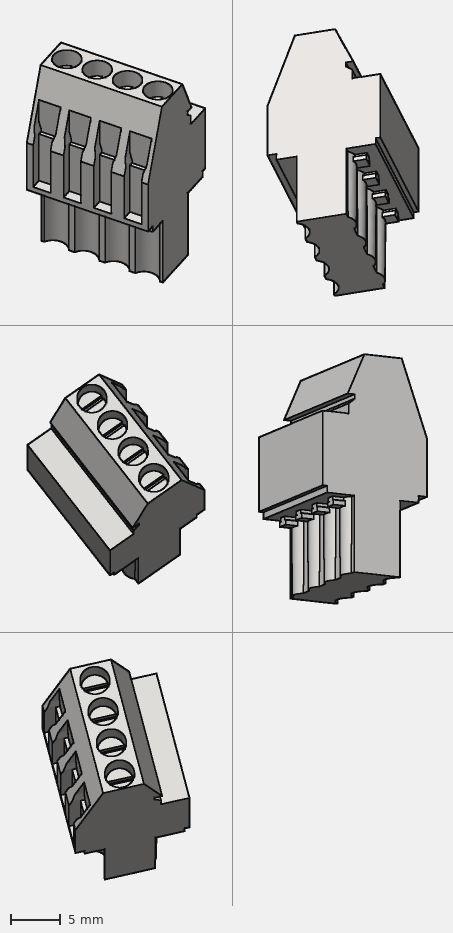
import cadquery as cq


POLE_COUNT = 4
PITCH = 3.5
WIDTH = POLE_COUNT * PITCH
POLE_CENTRES = [(i + 0.5) * PITCH - WIDTH / 2 for i in range(POLE_COUNT)]

HEIGHT = 22.6
DEPTH = 11.83
PLUG_TOP = 7.9
SKIRT_TOP = 8.6
SKIRT_FRONT_INSET = 0.95
SKIRT_BACK_INSET = 0.5
SLOPE_FOOT = 14.6
TOP_FRONT = 2.87
TOP_BACK = 7.1
LEDGE_HEIGHT = 16.3
LEDGE_FRONT = 8.87
LATCH_TIP = 9.0
LATCH_HEIGHT = 18.35
LATCH_ROOT = 8.2
LATCH_RAMP_TOP = 17.9
LATCH_RAMP_FOOT = 17.35

PLUG_FRONT = 3.05
PLUG_BACK = 8.27
PLUG_MIDDLE = (PLUG_FRONT + PLUG_BACK) / 2
BARREL_RADIUS = 1.6
SCALLOP_DEPTH = 0.84
BULGE_HEIGHT = 0.56
BULGE_DRAFT = 0.06

KEY_BACK = 10.05
KEY_BOTTOM = 7.0
KEY_HEAD_TOP = 7.52
KEY_HEAD_WIDTH = 1.3
KEY_NECK_WIDTH = 0.9

POCKET_BOTTOM = 9.25
POCKET_TOP = HEIGHT
POCKET_STEP = 15.2
LOWER_POCKET_DEPTH = 1.2
UPPER_POCKET_DEPTH = 1.64
NARROW_WIDTH = 2.0
WIDE_WIDTH = 2.5
TAPER_FOOT = 15.5
TAPER_TOP = 16.4

SCREW_ROW_OFFSET = 0.1
SCREW_Y = (TOP_FRONT + TOP_BACK) / 2
HOLE_DIAMETER = 3.0
SCREW_RECESS = 1.9
SCREW_DIAMETER = 2.8
SCREW_LENGTH = 3.0
HOLE_DEPTH = SCREW_RECESS + SCREW_LENGTH
SCREW_SLOT_WIDTH = 0.4
SCREW_SLOT_DEPTH = 0.6
SCREW_CENTRES = [(x + SCREW_ROW_OFFSET, SCREW_Y) for x in POLE_CENTRES]


def block(x_centre, x_size, y_range, z_range):
    """Box centred on x_centre that fills the given Y and Z ranges."""
    (y0, y1), (z0, z1) = y_range, z_range
    base = cq.Workplane("XY", origin=(x_centre, y0, z0))
    return base.box(x_size, y1 - y0, z1 - z0, centered=(True, False, False))


def body():
    """Main body, one side outline carried across the full width."""
    outline = [
        (SKIRT_FRONT_INSET, PLUG_TOP),
        (SKIRT_FRONT_INSET, SKIRT_TOP),
        (0, SKIRT_TOP),
        (0, SLOPE_FOOT),
        (TOP_FRONT, HEIGHT),
        (TOP_BACK, HEIGHT),
        (LATCH_TIP, LATCH_HEIGHT),
        (LATCH_ROOT, LATCH_HEIGHT),
        (LATCH_ROOT, LATCH_RAMP_TOP),
        (LEDGE_FRONT, LATCH_RAMP_FOOT),
        (LEDGE_FRONT, LEDGE_HEIGHT),
        (DEPTH, LEDGE_HEIGHT),
        (DEPTH, SKIRT_TOP),
        (DEPTH - SKIRT_BACK_INSET, SKIRT_TOP),
        (DEPTH - SKIRT_BACK_INSET, PLUG_TOP),
    ]
    return cq.Workplane("YZ").polyline(outline).close().extrude(WIDTH / 2, both=True)


def plug_bulge(x):
    """Slightly tapering rounded bulge on the back of the plug section, narrower at the plug end."""
    centre = cq.Vector(x, PLUG_BACK + BULGE_HEIGHT - BARREL_RADIUS, 0)
    cone = cq.Solid.makeCone(BARREL_RADIUS - BULGE_DRAFT, BARREL_RADIUS, PLUG_TOP, centre)
    behind_plug = block(x, PITCH, (PLUG_MIDDLE, PLUG_BACK + BULGE_HEIGHT), (0, PLUG_TOP))
    return behind_plug.intersect(cq.Workplane(cone))


def plug():
    """Plug section with a scalloped front and a bulge behind each pole."""
    section = block(0, WIDTH, (PLUG_FRONT, PLUG_BACK), (0, PLUG_TOP))
    scallop_y = PLUG_FRONT + SCALLOP_DEPTH - BARREL_RADIUS
    for x in POLE_CENTRES:
        section = section.union(plug_bulge(x))
        scallop = cq.Workplane("XY").center(x, scallop_y).circle(BARREL_RADIUS).extrude(PLUG_TOP)
        section = section.cut(scallop)
    return section


def coding_key(x):
    """T-shaped key: a narrow neck with a wider head below."""
    y_range = (PLUG_MIDDLE, KEY_BACK)
    neck = block(x, KEY_NECK_WIDTH, y_range, (KEY_BOTTOM, PLUG_TOP))
    head = block(x, KEY_HEAD_WIDTH, y_range, (KEY_BOTTOM, KEY_HEAD_TOP))
    return neck.union(head)


def wire_pocket(x):
    """Front pocket, narrow and shallow below, wider and deeper above."""
    lower = block(x, NARROW_WIDTH, (0, LOWER_POCKET_DEPTH), (POCKET_BOTTOM, POCKET_STEP))
    upper_outline = [
        (NARROW_WIDTH / 2, POCKET_STEP),
        (NARROW_WIDTH / 2, TAPER_FOOT),
        (WIDE_WIDTH / 2, TAPER_TOP),
        (WIDE_WIDTH / 2, POCKET_TOP),
        (-WIDE_WIDTH / 2, POCKET_TOP),
        (-WIDE_WIDTH / 2, TAPER_TOP),
        (-NARROW_WIDTH / 2, TAPER_FOOT),
        (-NARROW_WIDTH / 2, POCKET_STEP),
    ]
    upper = cq.Workplane("XZ").polyline(upper_outline).close().extrude(-UPPER_POCKET_DEPTH)
    return lower.union(upper.translate((x, 0, 0)))


def screw(x, y):
    """Screw standing on the floor of its hole, with a slot across its head."""
    floor = HEIGHT - HOLE_DEPTH
    head_top = HEIGHT - SCREW_RECESS
    cylinder = cq.Workplane("XY", origin=(x, y, floor)).circle(SCREW_DIAMETER / 2).extrude(SCREW_LENGTH)
    half = SCREW_DIAMETER / 2
    slot = block(x, SCREW_SLOT_WIDTH, (y - half, y + half), (head_top - SCREW_SLOT_DEPTH, head_top))
    return cylinder.cut(slot)


housing = body().union(plug())
for pole_x in POLE_CENTRES:
    housing = housing.union(coding_key(pole_x))
    housing = housing.cut(wire_pocket(pole_x))
for hole_x, hole_y in SCREW_CENTRES:
    hole_floor = cq.Workplane("XY", origin=(hole_x, hole_y, HEIGHT - HOLE_DEPTH))
    housing = housing.cut(hole_floor.circle(HOLE_DIAMETER / 2).extrude(HOLE_DEPTH))

screws = [screw(x, y).val() for x, y in SCREW_CENTRES]

result = cq.Compound.makeCompound([housing.val(), *screws])